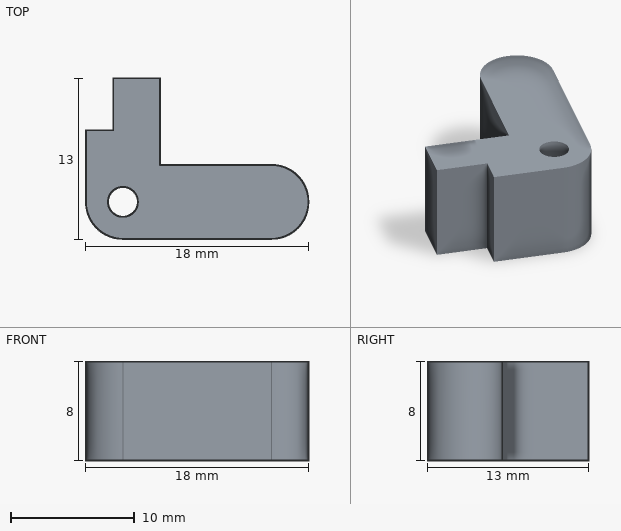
import cadquery as cq

height = 8.0
arm_width = 6.0
hole_diameter = 2.4
long_arm_reach = 12.0
short_arm_reach = 10.0
notch_width = 2.2
notch_length = 4.2

end_radius = arm_width / 2


def long_arm():
    """Bar along +X, rounded at both ends, the near end centred on the hinge axis."""
    return (
        cq.Workplane("XY")
        .center(long_arm_reach / 2, 0)
        .slot2D(long_arm_reach + arm_width, arm_width)
        .extrude(height)
    )


def short_arm():
    """Bar along +Y from the hinge axis, with its outer end corner stepped in."""
    notch_x = -end_radius + notch_width
    notch_y = short_arm_reach - notch_length
    return (
        cq.Workplane("XY")
        .moveTo(-end_radius, 0)
        .lineTo(end_radius, 0)
        .lineTo(end_radius, short_arm_reach)
        .lineTo(notch_x, short_arm_reach)
        .lineTo(notch_x, notch_y)
        .lineTo(-end_radius, notch_y)
        .close()
        .extrude(height)
    )


def hinge_hole():
    """Through hole on the hinge axis."""
    return cq.Workplane("XY").circle(hole_diameter / 2).extrude(height)


result = long_arm().union(short_arm()).cut(hinge_hole())